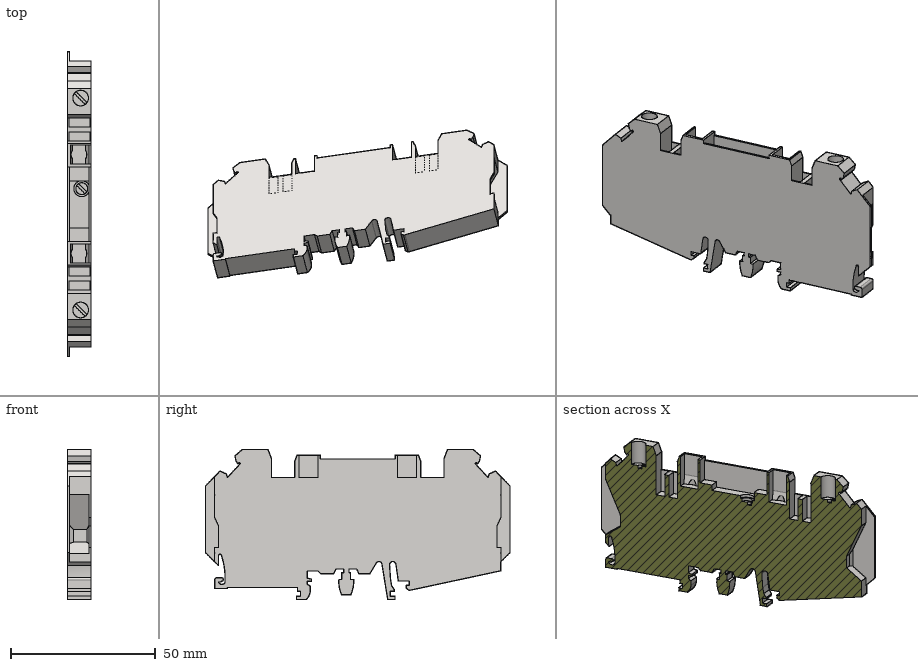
import cadquery as cq
import math

width = 8.15
length = 105.2
height = 51.8
half_length = length / 2

plate_thickness = 0.75
body_half_length = 49.35

bridge_slot_inner = 21.75
bridge_slot_outer = 29.7
bridge_slot_floor = 42.15
marker_top = 49.85
center_rim = 48.55
center_half = 12.85
side_top = 39.1
side_bottom = 16.25

rail_face = 8.9
recess_top = 10.5
spring_slot_top = 13.1
foot_lip_top = 1.2
foot_notch_top = 2.85
hook_top = 7.55
hook_rounding = 0.75

bridge_pocket_x = (0.5, 7.75)
bridge_pocket_depth = 8.0
bridge_pocket_length = 3.1
bridge_pocket_starts = (bridge_slot_inner, bridge_slot_outer - bridge_pocket_length)
marker_y = (13.75, 20.35)
marker_x = (1.0, 7.4)
marker_floor_x = (1.75, 6.2)
marker_slope_top = bridge_slot_floor
marker_floor = 39.0
marker_hole_radius = 2.7
marker_hole_x = sum(marker_floor_x) / 2
center_x = (0.75, 7.4)
center_step_y = (-8.2, 8.0)
center_ledge = 41.5
center_floor = 39.5

screw_radius = 2.7
screw_x = 4.55
screw_y = 36.55
screw_depth = 8.0
driver_slot_width = 0.9
driver_slot_depth = 1.0
driver_slot_angle = -45
center_screw_x = 4.95
center_screw_y = 5.3
center_screw_radius = 2.05
center_bore_radius = 2.75
center_bore_depth = 1.0
center_screw_depth = 2.0

funnel_x = (plate_thickness, 7.45)
funnel_mouth_z = (15.9, 36.3)
funnel_back_x = (2.05, 6.7)
funnel_back_z = (19.8, 24.2)
funnel_depth = 5.65
funnel_side_depth = 0.65
wall_notch_depth = 1.35
wall_notch_bottom = 17.9
wall_notch_z = (25.4, 28.3)


def box(x_range, y_range, z_range):
    """Box spanning the given X, Y and Z ranges."""
    size = [high - low for low, high in (x_range, y_range, z_range)]
    start = (x_range[0], y_range[0], z_range[0])
    return cq.Workplane("XY").box(*size, centered=False).translate(start)


def prism(points, x_range):
    """Extrude a Y-Z polygon along X over the given range."""
    outline = cq.Workplane("YZ").workplane(offset=x_range[0]).polyline(points).close()
    return outline.extrude(x_range[1] - x_range[0])


def both_ends(solid):
    """The solid together with its mirror image across the middle of the length."""
    return solid.union(solid.mirror("XZ"))


def lines(path, points):
    """Continue the path with straight lines through the points."""
    for point in points:
        path = path.lineTo(*point)
    return path


def upper_half():
    """Upper outline of the +Y half, from the center rim out to the end edge."""
    return [
        (center_half, center_rim),
        (center_half, marker_top),
        (20.95, marker_top),
        (bridge_slot_inner, 47.75),
        (bridge_slot_inner, bridge_slot_floor),
        (bridge_slot_outer, bridge_slot_floor),
        (bridge_slot_outer, 48.6),
        (30.95, height),
        (39.85, height),
        (42.4, 49.55),
        (42.0, 47.7),
        (41.3, 46.8),
        (40.95, 47.3),
        (40.45, 47.0),
        (44.95, bridge_slot_floor),
        (45.3, 43.35),
        (47.5, 44.4),
        (half_length, side_top),
        (half_length, side_bottom),
    ]


def draw_spring_foot(path):
    """Sloped underside at +Y, then the flexible foot between its two slots."""
    path = lines(path, [
        (body_half_length, 13.05),
        (body_half_length, 9.9),
        (18.1, 3.2),
        (17.6, 3.2),
        (16.65, 3.95),
        (16.65, 4.95),
        (17.7, 5.0),
        (17.7, 6.35),
        (13.95, 6.35),
        (13.1, 12.35),
    ])
    path = path.threePointArc((12.2, spring_slot_top), (11.0, 12.1))
    path = lines(path, [
        (11.35, 7.0),
        (11.75, 4.75),
        (12.65, 3.4),
        (12.65, foot_notch_top),
        (11.25, foot_notch_top),
        (11.25, foot_lip_top),
        (12.9, foot_lip_top),
        (12.9, 0),
        (10.3, 0),
        (8.3, 12.3),
    ])
    return path.threePointArc((7.4, spring_slot_top), (6.45, 12.6))


def draw_center_plug(path):
    """Rail face with the bulged plug hanging in the middle."""
    path = lines(path, [
        (4.2, rail_face),
        (0.35, rail_face),
        (-0.35, recess_top),
        (-3.0, recess_top),
        (-3.0, 9.3),
        (-2.45, 9.3),
        (-2.45, 7.0),
        (-1.35, 7.0),
    ])
    path = path.threePointArc((-1.55, 4.2), (-2.35, 1.6))
    path = path.lineTo(-5.6, 1.6)
    path = path.threePointArc((-6.4, 4.2), (-6.55, 7.0))
    return lines(path, [
        (-5.55, 7.0),
        (-5.55, 9.3),
        (-4.9, 9.3),
        (-4.9, recess_top),
        (-7.45, recess_top),
        (-8.3, rail_face),
        (-12.75, rail_face),
        (-13.7, 9.85),
    ])


def draw_fixed_foot(path):
    """Rigid foot with its rail nose and the hooked lip below it."""
    path = lines(path, [
        (-17.35, 9.85),
        (-17.35, 7.4),
        (-15.95, 7.1),
        (-15.95, 6.3),
        (-17.35, 6.3),
        (-17.35, 5.3),
        (-16.3, 4.65),
        (-16.3, 3.0),
    ])
    path = path.threePointArc((-16.8, 1.3), (-17.75, 0))
    return lines(path, [
        (-21.2, 0),
        (-21.2, foot_lip_top),
        (-19.8, foot_lip_top),
        (-19.8, foot_notch_top),
        (-20.8, foot_notch_top),
        (-20.8, 4.1),
    ])


def draw_end_hook(path):
    """Hook at -Y, its curved throat and the slot that frees it from the body."""
    path = lines(path, [
        (-45.0, 4.1),
        (-45.0, 3.8),
        (-body_half_length, 3.8),
        (-body_half_length, hook_top - hook_rounding),
    ])
    path = path.tangentArcPoint((-body_half_length + hook_rounding, hook_top), relative=False)
    path = path.lineTo(-46.95, hook_top)
    path = path.tangentArcPoint((-46.95, 6.3), relative=False)
    path = lines(path, [(-47.3, 6.05), (-48.05, 6.05)])
    path = path.threePointArc((-47.1, 5.3), (-45.85, 5.85))
    path = path.threePointArc((-46.0, 10.7), (-47.0, 15.1))
    path = path.threePointArc((-47.4, 15.65), (-48.0, 15.1))
    return path.lineTo(-48.0, 11.7)


def make_slab():
    """Full outline over the whole width, shortened behind the side plate."""
    half = upper_half()
    path = cq.Workplane("YZ").moveTo(*half[0])
    path = lines(path, half[1:])
    path = draw_spring_foot(path)
    path = draw_center_plug(path)
    path = draw_fixed_foot(path)
    path = draw_end_hook(path)
    path = lines(path, [(-y, z) for y, z in reversed(half)])
    slab = path.close().extrude(width)
    beyond_body = box((plate_thickness, width), (body_half_length, half_length), (0, height))
    return slab.cut(both_ends(beyond_body))


def bridge_pockets():
    """Two rectangular pockets in the floor of each bridge slot."""
    cutters = cq.Workplane("XY")
    z_range = (bridge_slot_floor - bridge_pocket_depth, bridge_slot_floor)
    for start in bridge_pocket_starts:
        cutters = cutters.union(box(bridge_pocket_x, (start, start + bridge_pocket_length), z_range))
    return both_ends(cutters)


def marker_pockets():
    """Trough with sloped sides and a shallow round well, open above its +X wall."""
    left, right = marker_x
    floor_left, floor_right = marker_floor_x
    trough = (
        cq.Workplane("XZ", origin=(0, marker_y[1], 0))
        .polyline([
            (left, marker_top),
            (left, marker_slope_top),
            (floor_left, marker_floor),
            (floor_right, marker_floor),
            (right, marker_slope_top),
            (width, marker_slope_top),
            (width, marker_top),
        ])
        .close()
        .extrude(marker_y[1] - marker_y[0])
    )
    well = (
        cq.Workplane("XY", origin=(marker_hole_x, sum(marker_y) / 2, marker_floor))
        .circle(marker_hole_radius)
        .extrude(marker_slope_top - marker_floor)
    )
    return both_ends(trough.union(well))


def center_pocket():
    """Long pocket between the marker walls with a ledge at each end."""
    ledges = box(center_x, (-center_half, center_half), (center_ledge, marker_top))
    return ledges.union(box(center_x, center_step_y, (center_floor, center_ledge)))


def screw_recess(x, y, top, radius, depth):
    """Round bore with a diagonal driver slot cut in the screw at its bottom."""
    bottom = top - depth
    bore = cq.Workplane("XY", origin=(x, y, bottom)).circle(radius).extrude(depth)
    slot_length = 2 * math.sqrt(radius**2 - (driver_slot_width / 2) ** 2)
    slot = (
        cq.Workplane("XY", origin=(x, y, bottom))
        .transformed(rotate=(0, 0, driver_slot_angle))
        .rect(slot_length, driver_slot_width)
        .extrude(-driver_slot_depth)
    )
    return bore.union(slot)


def screw_recesses():
    """Clamping screws in both heads and the stepped one in the center pocket."""
    cutters = screw_recess(
        center_screw_x, center_screw_y, center_floor, center_screw_radius, center_screw_depth
    )
    counterbore = (
        cq.Workplane("XY", origin=(center_screw_x, center_screw_y, center_floor))
        .circle(center_bore_radius)
        .extrude(-center_bore_depth)
    )
    inside_walls = box(center_x, center_step_y, (center_floor - center_bore_depth, center_floor))
    cutters = cutters.union(counterbore.intersect(inside_walls))
    for side in (-1, 1):
        cutters = cutters.union(screw_recess(screw_x, side * screw_y, height, screw_radius, screw_depth))
    return cutters


def funnel_side(x_wall, x_back, back_y):
    """Wedge left standing beside the funnel back, closing it in from one wall."""
    return (
        cq.Workplane("XY", origin=(0, 0, funnel_mouth_z[0]))
        .polyline([(x_wall, back_y - funnel_side_depth), (x_wall, back_y), (x_back, back_y)])
        .close()
        .extrude(funnel_mouth_z[1] - funnel_mouth_z[0])
    )


def wire_funnels():
    """Tapered wire entry in each end face, with a notch through its +X wall."""
    mouth_y = -body_half_length
    back_y = mouth_y + funnel_depth
    funnel = prism(
        [
            (mouth_y, funnel_mouth_z[1]),
            (back_y, funnel_back_z[1]),
            (back_y, funnel_back_z[0]),
            (mouth_y, funnel_mouth_z[0]),
        ],
        funnel_x,
    )
    for x_wall, x_back in zip(funnel_x, funnel_back_x):
        funnel = funnel.cut(funnel_side(x_wall, x_back, back_y))
    notch_y = mouth_y + wall_notch_depth
    notch = prism(
        [
            (mouth_y, wall_notch_bottom),
            (mouth_y, wall_notch_z[1]),
            (notch_y, wall_notch_z[0]),
            (notch_y, wall_notch_bottom),
        ],
        (funnel_x[1], width),
    )
    return both_ends(funnel.union(notch))


result = make_slab()
for cutter in (bridge_pockets(), marker_pockets(), center_pocket(), screw_recesses(), wire_funnels()):
    result = result.cut(cutter)